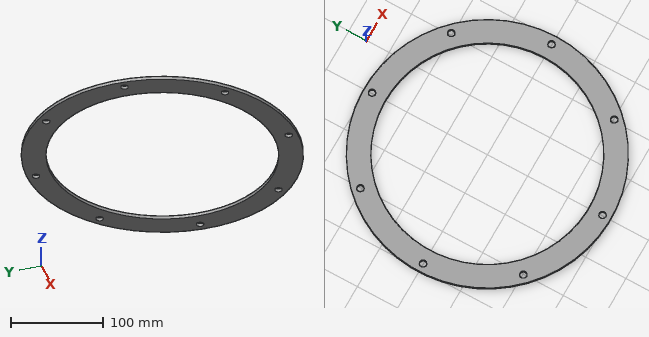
import cadquery as cq

outer_diameter = 306.0
inner_diameter = 252.5
thickness = 4.0

bolt_circle_diameter = 286.0
bolt_hole_diameter = 8.0
bolt_hole_count = 8

ring = (
    cq.Workplane("XY")
    .circle(outer_diameter / 2)
    .circle(inner_diameter / 2)
    .extrude(thickness)
)

bolt_holes = (
    cq.Workplane("XY")
    .polarArray(bolt_circle_diameter / 2, 0, 360, bolt_hole_count)
    .circle(bolt_hole_diameter / 2)
    .extrude(thickness)
)

result = ring.cut(bolt_holes)